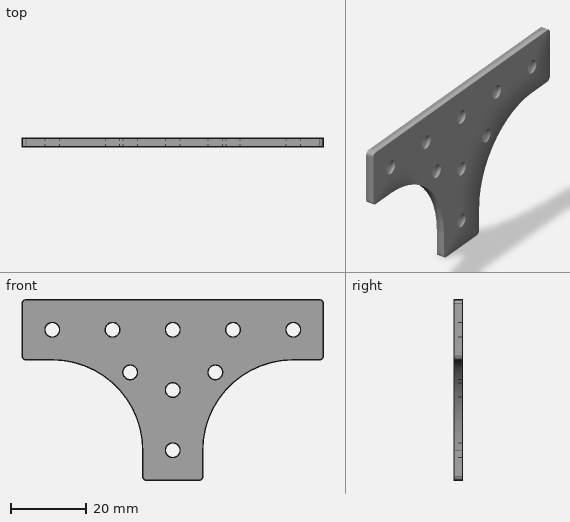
import cadquery as cq
import math

length = 80.0
height = 48.0
thickness = 2.3
arm_width = 16.0
inner_radius = 24.0
corner_radius = 1.0
hole_diameter = 3.8
hole_pitch = 16.0

half_length = length / 2
half_stem = arm_width / 2
top = height / 2
bottom = -height / 2
bar_bottom = top - arm_width
arc_start_x = half_stem + inner_radius
arc_end_z = bar_bottom - inner_radius
arc_mid_offset = inner_radius * math.sqrt(0.5)
arc_mid_x = arc_start_x - arc_mid_offset
arc_mid_z = arc_end_z + arc_mid_offset
bar_hole_z = top - arm_width / 2


def plate():
    """T-shaped plate with rounded outer corners."""
    blank = (
        cq.Workplane("XZ", origin=(0, thickness / 2, 0))
        .moveTo(-half_length, top)
        .lineTo(half_length, top)
        .lineTo(half_length, bar_bottom)
        .lineTo(arc_start_x, bar_bottom)
        .threePointArc((arc_mid_x, arc_mid_z), (half_stem, arc_end_z))
        .lineTo(half_stem, bottom)
        .lineTo(-half_stem, bottom)
        .lineTo(-half_stem, arc_end_z)
        .threePointArc((-arc_mid_x, arc_mid_z), (-arc_start_x, bar_bottom))
        .lineTo(-half_length, bar_bottom)
        .close()
        .extrude(thickness)
    )
    bar_corners = blank.edges("|Y and (<X or >X)")
    rounded = bar_corners.fillet(corner_radius)
    return rounded.edges("|Y and <Z").fillet(corner_radius)


def hole_centers():
    """Row along the crossbar, row down the stem, and two diagonal holes one pitch from the crossing."""
    bar_row = [(i * hole_pitch, bar_hole_z) for i in range(-2, 3)]
    stem_row = [(0, bar_hole_z - i * hole_pitch) for i in (1, 2)]
    diagonal = hole_pitch * math.sqrt(0.5)
    diagonals = [(side * diagonal, bar_hole_z - diagonal) for side in (-1, 1)]
    return bar_row + stem_row + diagonals


holes = (
    cq.Workplane("XZ", origin=(0, thickness / 2, 0))
    .pushPoints(hole_centers())
    .circle(hole_diameter / 2)
    .extrude(thickness)
)

result = plate().cut(holes)